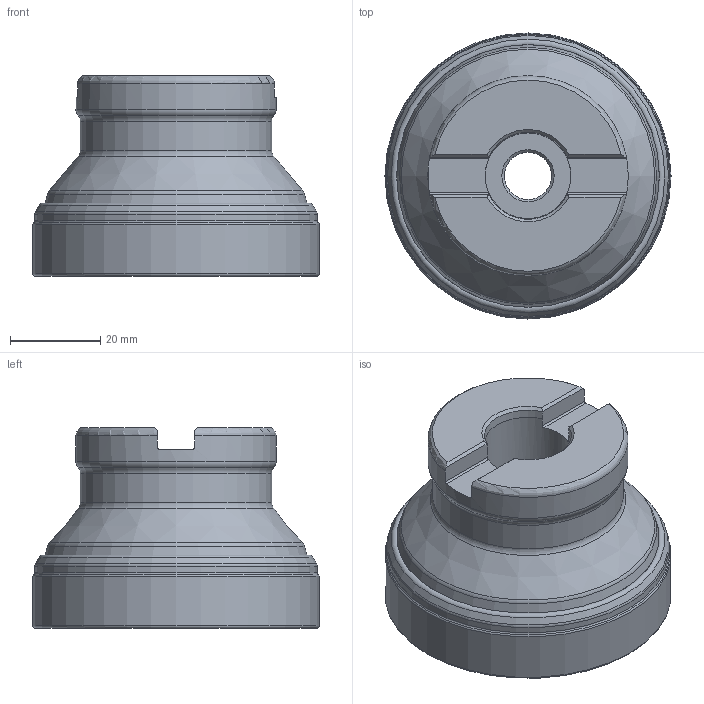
import cadquery as cq
import math

HORIZONTAL_TILT = 90

TOTAL_HEIGHT = 44.45
BASE_DIAMETER = 63.5
HEAD_DIAMETER = 44.45
NECK_DIAMETER = 42.45

BASE_BOTTOM_FILLET = 0.5
BASE_WALL_TOP = 11.5
SHOULDER_STEP = 0.4
SHOULDER_STEP_RADIUS = 0.5
SHOULDER_WALL_TOP = 13.7
SHOULDER_BEVEL_ANGLE = 30
SHOULDER_EDGE_RADIUS = 1.2
SHOULDER_TOP = 16.2
SHOULDER_RIM_RADIUS = 1.0
RIM_INNER_TILT = 110
RIM_GROOVE_DEPTH = 0.15

SKIRT_ANGLE = 15
CONE_ANGLE = 40
CONE_TOP_RADIUS = 2.2
CONE_BOTTOM_RADIUS = 2.0
CONE_BOTTOM = 18.93
NECK_BOTTOM = 27.96

HEAD_WALL_BOTTOM = 37.0
HEAD_RADIUS = 2.0

BORE_DIAMETER = 19.05
BORE_FLOOR = 25.4
LEAD_IN_BOTTOM = 42.0
LEAD_IN_FLARE = 0.125
BORE_CHAMFER = 0.6
HOLE_DIAMETER = 10.5
HOLE_CHAMFER = 0.55

SLOT_WIDTH = 8.3
SLOT_DEPTH = 4.75
SLOT_CHAMFER = 0.6
SLOT_FLOOR_FILLET = 0.4


def arc_span(radius, tilt_start, tilt_end):
    """Radial and axial size of an arc whose tangent tilts between two angles from the axis."""
    start = math.radians(tilt_start)
    end = math.radians(tilt_end)
    across = radius * abs(math.cos(end) - math.cos(start))
    along = radius * abs(math.sin(end) - math.sin(start))
    return across, along


def slope(angle):
    """Radial change per unit of height for a wall leaning at an angle from the axis."""
    return math.tan(math.radians(angle))


def step_tilt(step, radius):
    """Steepest tilt of an S-shaped step made of two equal arcs."""
    return math.degrees(math.acos(1 - step / 2 / radius))


class Outline:
    """Half section in the XZ plane that remembers its current radius and height."""

    def __init__(self):
        self.path = cq.Workplane("XZ").moveTo(0, 0)
        self.r = 0
        self.z = 0

    def line(self, r, z):
        self.r = r
        self.z = z
        self.path = self.path.lineTo(r, z)

    def arc_to(self, r, z, radius, convex=True):
        self.r = r
        self.z = z
        self.path = self.path.radiusArc((r, z), -radius if convex else radius)

    def arc_inward(self, radius, tilt_start, tilt_end, convex=True):
        across, along = arc_span(radius, tilt_start, tilt_end)
        self.arc_to(self.r - across, self.z + along, radius, convex)


def add_base(outline):
    """Flat bottom, rounded bottom edge and upright base wall."""
    base_r = BASE_DIAMETER / 2
    outline.line(base_r - BASE_BOTTOM_FILLET, 0)
    outline.arc_to(base_r, BASE_BOTTOM_FILLET, BASE_BOTTOM_FILLET)
    outline.line(base_r, BASE_WALL_TOP)


def add_shoulder(outline):
    """S-shaped step in from the base wall, then an upright wall, bevel and rounded rim."""
    tilt = step_tilt(SHOULDER_STEP, SHOULDER_STEP_RADIUS)
    outline.arc_inward(SHOULDER_STEP_RADIUS, 0, tilt)
    outline.arc_inward(SHOULDER_STEP_RADIUS, tilt, 0, convex=False)
    outline.line(outline.r, SHOULDER_WALL_TOP)
    outline.arc_inward(SHOULDER_EDGE_RADIUS, 0, SHOULDER_BEVEL_ANGLE)
    rim_height = arc_span(SHOULDER_RIM_RADIUS, SHOULDER_BEVEL_ANGLE, HORIZONTAL_TILT)[1]
    bevel_top = SHOULDER_TOP - rim_height
    bevel_inset = (bevel_top - outline.z) * slope(SHOULDER_BEVEL_ANGLE)
    outline.line(outline.r - bevel_inset, bevel_top)
    outline.arc_inward(SHOULDER_RIM_RADIUS, SHOULDER_BEVEL_ANGLE, RIM_INNER_TILT)


def add_skirt_and_cone(outline):
    """V groove behind the rim, skirt and cone; their radii follow downwards from the neck."""
    top_across, top_along = arc_span(CONE_TOP_RADIUS, CONE_ANGLE, 0)
    cone_top_r = NECK_DIAMETER / 2 + top_across
    cone_top_z = NECK_BOTTOM - top_along
    cone_bottom_r = cone_top_r + (cone_top_z - CONE_BOTTOM) * slope(CONE_ANGLE)
    skirt_across, skirt_along = arc_span(CONE_BOTTOM_RADIUS, SKIRT_ANGLE, CONE_ANGLE)
    skirt_top_r = cone_bottom_r + skirt_across
    skirt_top_z = CONE_BOTTOM - skirt_along
    groove_z = SHOULDER_TOP - RIM_GROOVE_DEPTH
    groove_r = skirt_top_r + (skirt_top_z - groove_z) * slope(SKIRT_ANGLE)
    outline.line(groove_r, groove_z)
    outline.line(skirt_top_r, skirt_top_z)
    outline.arc_inward(CONE_BOTTOM_RADIUS, SKIRT_ANGLE, CONE_ANGLE)
    outline.line(cone_top_r, cone_top_z)
    outline.arc_inward(CONE_TOP_RADIUS, CONE_ANGLE, 0, convex=False)


def add_neck_and_head(outline):
    """Neck, S-shaped step out to the head, and a top edge rounded in to the neck diameter."""
    neck_r = NECK_DIAMETER / 2
    head_r = HEAD_DIAMETER / 2
    head_step = head_r - neck_r
    half_step_height = arc_span(HEAD_RADIUS, 0, step_tilt(head_step, HEAD_RADIUS))[1]
    neck_top = HEAD_WALL_BOTTOM - 2 * half_step_height
    outline.line(neck_r, neck_top)
    outline.arc_to(neck_r + head_step / 2, neck_top + half_step_height, HEAD_RADIUS, convex=False)
    outline.arc_to(head_r, HEAD_WALL_BOTTOM, HEAD_RADIUS)
    edge_height = math.sqrt(HEAD_RADIUS**2 - (HEAD_RADIUS - head_step) ** 2)
    outline.line(head_r, TOTAL_HEIGHT - edge_height)
    outline.arc_to(neck_r, TOTAL_HEIGHT, HEAD_RADIUS)


def revolve_about_z(path):
    """Close a half section and turn it a full circle about the Z axis."""
    return path.close().revolve(360, (0, 0, 0), (0, 1, 0))


def turned_body():
    """Solid of revolution whose outline runs from the bottom face up to the top face."""
    outline = Outline()
    add_base(outline)
    add_shoulder(outline)
    add_skirt_and_cone(outline)
    add_neck_and_head(outline)
    outline.line(0, TOTAL_HEIGHT)
    return revolve_about_z(outline.path)


def bore():
    """Through hole, counterbore, flared lead-in and entry chamfers as one turned cutter."""
    hole_r = HOLE_DIAMETER / 2
    bore_r = BORE_DIAMETER / 2
    flare_r = bore_r + LEAD_IN_FLARE
    outline = (
        cq.Workplane("XZ")
        .lineTo(hole_r, 0)
        .lineTo(hole_r, BORE_FLOOR - HOLE_CHAMFER)
        .lineTo(hole_r + HOLE_CHAMFER, BORE_FLOOR)
        .lineTo(bore_r, BORE_FLOOR)
        .lineTo(bore_r, LEAD_IN_BOTTOM)
        .lineTo(flare_r, TOTAL_HEIGHT - BORE_CHAMFER)
        .lineTo(flare_r + BORE_CHAMFER, TOTAL_HEIGHT)
        .lineTo(0, TOTAL_HEIGHT)
    )
    return revolve_about_z(outline)


def drive_slot():
    """Slot cutter along X with rounded floor corners and chamfered top edges."""
    half = SLOT_WIDTH / 2
    floor = TOTAL_HEIGHT - SLOT_DEPTH
    fillet = SLOT_FLOOR_FILLET
    outline = (
        cq.Workplane("YZ")
        .moveTo(fillet - half, floor)
        .lineTo(half - fillet, floor)
        .radiusArc((half, floor + fillet), -fillet)
        .lineTo(half, TOTAL_HEIGHT - SLOT_CHAMFER)
        .lineTo(half + SLOT_CHAMFER, TOTAL_HEIGHT)
        .lineTo(-half - SLOT_CHAMFER, TOTAL_HEIGHT)
        .lineTo(-half, TOTAL_HEIGHT - SLOT_CHAMFER)
        .lineTo(-half, floor + fillet)
        .radiusArc((fillet - half, floor), -fillet)
        .close()
    )
    return outline.extrude(BASE_DIAMETER / 2, both=True)


result = turned_body().cut(bore()).cut(drive_slot())